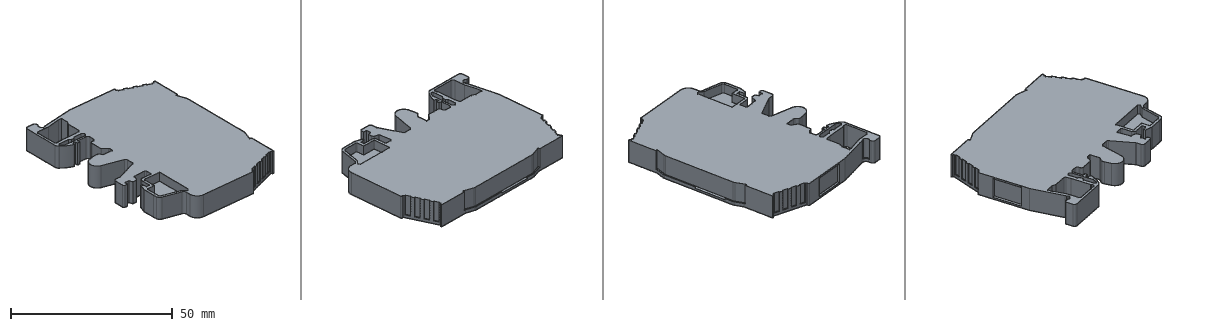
import cadquery as cq
import math

thickness = 8.0
total_height = 49.55

body_center_x = 33.7
body_half_width = 32.5
left_side = body_center_x - body_half_width
right_side = body_center_x + body_half_width

top_edge = 48.4
crest_half_width = 13.3
crest_foot_half_width = 16.8
shoulder = 36.05
taper_start = 17.3
body_bottom = 12.0
bay_top = 11.4
foot_top = 4.05

flank_top = (6.3, 47.2)
flank_bottom = (2.1, shoulder)

crest_flange_thickness = 1.25
crest_setback = 0.45
crest_chamfer_start, crest_chamfer_end = 23.45, 35.05
crest_step_half_width = 17.2
crest_step_floor = 47.7
foot_flange_thickness = 1.05

groove_count = 4
groove_first = 0.1
groove_pitch = 3.2
groove_width = 1.85
groove_depth = 0.4
groove_floor = 1.05

recess_bottom, recess_top = 0.65, 7.4
recess_front, recess_back = 20.15, 30.5
recess_depth = 0.45
recess_draft = 0.3

pocket_depth = 3.25


def rounded_profile(corners):
    """Closed wire through (x, y) corners; a third value is the radius that rounds the corner."""
    stretches = []
    for index, corner in enumerate(corners):
        x, y = corner[:2]
        if len(corner) == 2:
            stretches.append([(x, y)])
            continue
        radius = corner[2]
        before = corners[index - 1]
        after = corners[(index + 1) % len(corners)]
        angle_in = math.atan2(before[1] - y, before[0] - x)
        angle_out = math.atan2(after[1] - y, after[0] - x)
        half_angle = abs(math.remainder(angle_out - angle_in, 2 * math.pi)) / 2
        bisector = angle_in + math.remainder(angle_out - angle_in, 2 * math.pi) / 2
        setback = radius / math.tan(half_angle)
        to_middle = radius / math.sin(half_angle) - radius
        stretches.append([
            (x + setback * math.cos(angle_in), y + setback * math.sin(angle_in)),
            (x + to_middle * math.cos(bisector), y + to_middle * math.sin(bisector)),
            (x + setback * math.cos(angle_out), y + setback * math.sin(angle_out)),
        ])
    profile = cq.Workplane("XY").moveTo(*stretches[0][-1])
    for stretch in stretches[1:] + stretches[:1]:
        profile = profile.lineTo(*stretch[0])
        if len(stretch) > 1:
            profile = profile.threePointArc(stretch[1], stretch[2])
    return profile.close()


def mirrored(corners):
    """The corners reflected across the body's centre line, in reverse order."""
    return [(2 * body_center_x - x, *rest) for x, *rest in reversed(corners)]


upper_left = [
    (body_center_x - crest_half_width, total_height, 2),
    (body_center_x - crest_foot_half_width, top_edge),
    (5.95, top_edge),
    (5.95, 47.8),
    (6.5, 47.6),
    flank_top,
    flank_bottom,
    (2.0, 35.85),
    (left_side, shoulder, 0.3),
]
left_foot = [
    (left_side, taper_start),
    (3.45, foot_top, 1.3),
    (0, foot_top, 0.85),
    (0, 0, 0.9),
    (14.6, 0, 1.6),
    (16.7, 2.45, 11.25),
    (17.4, 4.85),
    (16.5, 5.2),
    (16.5, 6.1),
    (17.5, 6.1),
    (17.5, 7.1),
    (16.5, 7.1),
]
left_bay = [
    (16.5, bay_top, 0.85),
    (19.7, bay_top, 0.9),
    (19.8, 9.35, 0.8),
    (24.85, 9.35, 0.25),
    (26.45, bay_top, 0.65),
    (27.9, bay_top),
    (27.9, 7.7, 0.5),
    (26.55, 6.5, 0.5),
]
tongue_tip = [(26.55, 5.3), (28.9, -10.2, 2.8)]
middle_leg = [
    (34.6, 11.05, 0.8),
    (37.8, 11.05, 0.5),
    (41.3, 2.65),
    (41.3, 0, 0.9),
    (46.0, 0, 0.5),
    (46.0, 1.5),
    (44.7, 1.5),
    (44.7, 3.2),
    (46.05, 3.65),
    (46.05, 5.5, 0.8),
    (43.9, 6.1),
    (43.6, 11.05, 0.45),
]
right_hook = [
    (46.3, 11.05, 0.25),
    (46.3, 6.2, 1.1),
    (50.95, 6.2),
    (50.95, 5.0),
    (49.3, 4.8),
    (49.3, 4.05),
    (51.9, 3.2),
    (56.3, 3.2),
    (58.55, 3.4, 1.45),
    (60.75, body_bottom, 1.1),
    (right_side, body_bottom, 3.0),
]
outline = upper_left + left_foot + left_bay + tongue_tip + middle_leg + right_hook + mirrored(upper_left)
housing = rounded_profile(outline).extrude(thickness)

window = [
    (3.3, 12.05),
    (6.1, 12.05),
    (7.4, bay_top),
    (12.6, bay_top, 0.5),
    (12.85, 9.3),
    (12.85, 2.25),
    (13.05, 1.9),
    (13.05, 0.85, 0.5),
    (4.4, 0.85, 0.8),
    (4.4, 5.7),
    (3.3, 10.8),
]
spring_slot = [
    (14.1, bay_top, 0.8),
    (15.8, bay_top, 0.8),
    (15.8, 2.7, 0.3),
    (15.0, 1.3, 0.25),
    (14.1, 1.3, 0.25),
    (14.1, 5.4),
    (14.7, 6.1),
    (14.7, 7.15),
    (14.1, 7.75),
]
for opening in (window, spring_slot):
    housing = housing.cut(rounded_profile(opening).extrude(thickness))

pocket = [
    (47.3, 13.65),
    (60.6, 13.65),
    (61.2, 13.05, 0.2),
    (59.8, 11.45, 0.65),
    (57.85, 4.2, 0.8),
    (52.15, 4.2, 0.25),
    (52.15, 7.15),
    (47.3, 7.15, 0.2),
]
pocket_tool = rounded_profile(pocket).extrude(pocket_depth)
housing = housing.cut(pocket_tool.translate((0, 0, thickness - pocket_depth)))

crest_left = [
    (body_center_x - crest_step_half_width, total_height),
    (body_center_x - crest_step_half_width, crest_step_floor),
    (body_center_x - crest_half_width, total_height - crest_setback, 2),
]
crest_tool = rounded_profile(crest_left + mirrored(crest_left)).extrude(thickness)
housing = housing.cut(crest_tool.translate((0, 0, crest_flange_thickness)))

chamfer_tool = (
    cq.Workplane("YZ", origin=(crest_chamfer_start, total_height, crest_flange_thickness))
    .polyline([(0, 0), (-crest_setback, 0), (0, -crest_setback)])
    .close()
    .extrude(crest_chamfer_end - crest_chamfer_start)
)
housing = housing.cut(chamfer_tool)

relief_tool = (
    cq.Workplane("XY", origin=(0, 0, foot_flange_thickness))
    .moveTo(3.05, 5.1)
    .lineTo(3.4, 5.1)
    .lineTo(3.5, 4.45)
    .threePointArc((2.85, 3.7), (1.45, foot_top))
    .close()
    .extrude(thickness)
)
housing = housing.cut(relief_tool)

flank_run = flank_top[0] - flank_bottom[0]
flank_rise = flank_top[1] - flank_bottom[1]
flank_tilt = math.degrees(math.atan2(flank_run, flank_rise))
for number in range(groove_count):
    distance = groove_first + groove_width / 2 + number * groove_pitch
    groove = (
        cq.Workplane("XY")
        .box(2 * groove_depth, groove_width, thickness, centered=(True, True, False))
        .translate((0, -distance, groove_floor))
        .rotate((0, 0, 0), (0, 0, 1), -flank_tilt)
        .translate((*flank_top, 0))
    )
    housing = housing.cut(groove)
    housing = housing.cut(groove.mirror("YZ", (body_center_x, 0, 0)))

recess_length = recess_back - recess_front
recess_height = recess_top - recess_bottom
recess_tool = (
    cq.Workplane("YZ", origin=(left_side, (recess_front + recess_back) / 2, (recess_bottom + recess_top) / 2))
    .rect(recess_length, recess_height)
    .workplane(offset=recess_depth)
    .center(0, recess_draft / 2)
    .rect(recess_length - 2 * recess_draft, recess_height - recess_draft)
    .loft()
)
housing = housing.cut(recess_tool)

result = housing